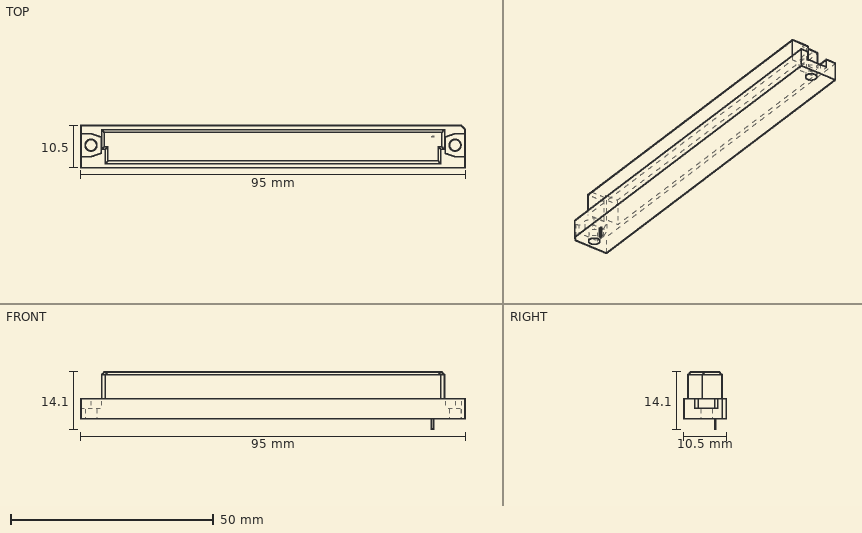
import cadquery as cq

BASE_LENGTH = 95.0
BASE_WIDTH = 10.5
BASE_HEIGHT = 5.0
CORNER_CHAMFER = 1.0

BODY_BACK_LENGTH = 84.8
BODY_FRONT_LENGTH = 83.0
BODY_FRONT_Y = -4.25
BODY_BACK_Y = 4.2
BODY_HEIGHT = 6.6
BODY_STEP_Y = -0.7
TOP_CHAMFER = 0.7

RECESS_DEPTH = 2.3
RECESS_WIDTH = 5.7
RECESS_INNER_WIDTH = 4.0
RECESS_STRAIGHT_LENGTH = 2.5
RECESS_BODY_GAP = 0.1

HOLE_DIAMETER = 2.8
HOLE_SPACING = 90.0
MOUNT_Y = 0.35

PIN_PITCH = 2.54
PIN_PLACES = 32
PIN_X = (PIN_PLACES - 1) * PIN_PITCH / 2
PIN_Y = PIN_PITCH
PIN_SIZE_X = 0.6
PIN_SIZE_Y = 0.3
PIN_LENGTH = 2.54

SIDES = (-1, 1)


def make_base():
    """Plain bar with one chamfered vertical corner at +X, +Y."""
    bar = cq.Workplane("XY").box(BASE_LENGTH, BASE_WIDTH, BASE_HEIGHT, centered=(True, True, False))
    return bar.edges("|Z and >X and >Y").chamfer(CORNER_CHAMFER)


def body_outline(inset):
    """Closed T-shaped outline of the body, moved inwards by the inset."""
    back_x = BODY_BACK_LENGTH / 2 - inset
    front_x = BODY_FRONT_LENGTH / 2 - inset
    front_y = BODY_FRONT_Y + inset
    back_y = BODY_BACK_Y - inset
    step_y = BODY_STEP_Y + inset
    points = [
        (-front_x, front_y),
        (front_x, front_y),
        (front_x, step_y),
        (back_x, step_y),
        (back_x, back_y),
        (-back_x, back_y),
        (-back_x, step_y),
        (-front_x, step_y),
    ]
    return points


def make_body():
    """Straight-walled body under a cap whose sloping sides form a 45-degree top chamfer."""
    wall_height = BODY_HEIGHT - TOP_CHAMFER
    walls = (
        cq.Workplane("XY")
        .workplane(offset=BASE_HEIGHT)
        .polyline(body_outline(0))
        .close()
        .extrude(wall_height)
    )
    cap = (
        cq.Workplane("XY")
        .workplane(offset=BASE_HEIGHT + wall_height)
        .polyline(body_outline(0))
        .close()
        .workplane(offset=TOP_CHAMFER)
        .polyline(body_outline(TOP_CHAMFER))
        .close()
        .loft(ruled=True)
    )
    return walls.union(cap)


def make_recess(side):
    """Pocket open at the end of the base and closed just short of the body."""
    end_x = side * BASE_LENGTH / 2
    taper_x = side * (BASE_LENGTH / 2 - RECESS_STRAIGHT_LENGTH)
    inner_x = side * (BODY_BACK_LENGTH / 2 + RECESS_BODY_GAP)
    half = RECESS_WIDTH / 2
    inner_half = RECESS_INNER_WIDTH / 2
    points = [
        (end_x, MOUNT_Y - half),
        (taper_x, MOUNT_Y - half),
        (inner_x, MOUNT_Y - inner_half),
        (inner_x, MOUNT_Y + inner_half),
        (taper_x, MOUNT_Y + half),
        (end_x, MOUNT_Y + half),
    ]
    floor = cq.Workplane("XY").workplane(offset=BASE_HEIGHT - RECESS_DEPTH)
    return floor.polyline(points).close().extrude(RECESS_DEPTH)


def make_hole(side):
    """Cylinder that cuts a through hole in the recess floor."""
    return (
        cq.Workplane("XY")
        .center(side * HOLE_SPACING / 2, MOUNT_Y)
        .circle(HOLE_DIAMETER / 2)
        .extrude(BASE_HEIGHT)
    )


def make_pin():
    """Rectangular pin hanging from the underside of the base."""
    return cq.Workplane("XY").center(PIN_X, PIN_Y).rect(PIN_SIZE_X, PIN_SIZE_Y).extrude(-PIN_LENGTH)


base = make_base()
for end in SIDES:
    base = base.cut(make_recess(end)).cut(make_hole(end))

result = base.union(make_body()).union(make_pin())